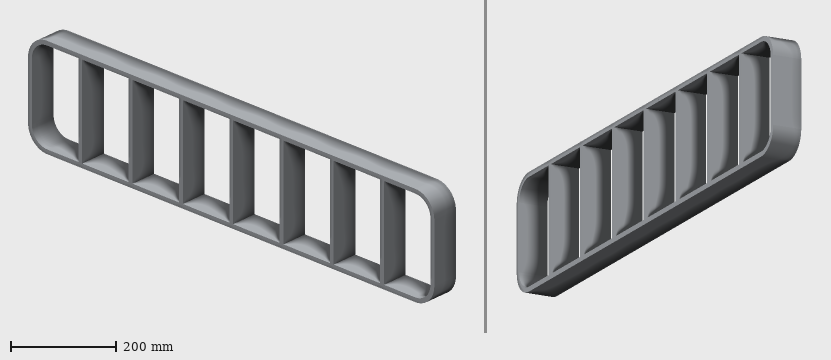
import cadquery as cq

length = 1054.0
depth = 60.0
height = 238.0

wall = 10.0
corner_radius = 50.0
divider_count = 7

divider_pitch = (length - wall) / (divider_count + 1)
inner_length = length - 2 * wall
inner_height = height - 2 * wall
inner_radius = corner_radius - wall


def rounded_block(block_length, block_height, radius):
    """Block through the full depth, with its four corners rounded about Y."""
    return cq.Workplane("XY").box(block_length, depth, block_height).edges("|Y").fillet(radius)


result = rounded_block(length, height, corner_radius).cut(
    rounded_block(inner_length, inner_height, inner_radius)
)

divider = cq.Workplane("XY").box(wall, depth, height - wall)
for index in range(divider_count):
    x = (index - (divider_count - 1) / 2) * divider_pitch
    result = result.union(divider.translate((x, 0, 0)))